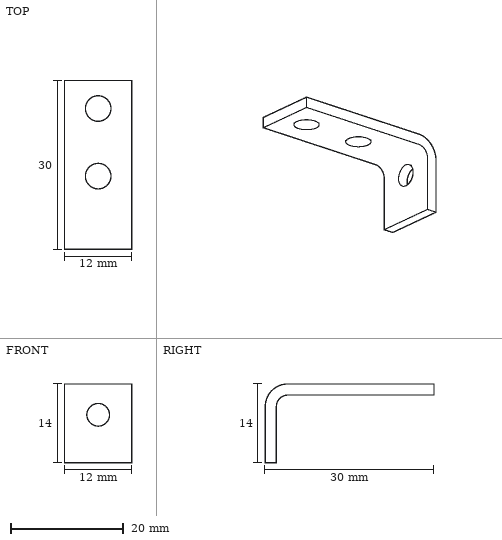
import cadquery as cq

width = 12.0
length = 30.0
height = 14.0
thickness = 2.0

inner_radius = thickness
outer_radius = inner_radius + thickness

top_hole_diameter = 4.5
top_hole_end_distance = 5.0
top_hole_spacing = 12.0
front_hole_diameter = 4.0
front_hole_depth_below_top = 5.5

front_y = 0.0
back_y = front_y + length
top_z = height


def bent_strip():
    """L-shaped profile in the YZ plane, extruded across the width and rounded at the bend."""
    profile = [
        (front_y, 0),
        (front_y, top_z),
        (back_y, top_z),
        (back_y, top_z - thickness),
        (front_y + thickness, top_z - thickness),
        (front_y + thickness, 0),
    ]
    strip = cq.Workplane("YZ").polyline(profile).close().extrude(width / 2, both=True)
    outer_corner = cq.NearestToPointSelector((0, front_y, top_z))
    inner_corner = cq.NearestToPointSelector((0, front_y + thickness, top_z - thickness))
    strip = strip.edges(outer_corner).fillet(outer_radius)
    return strip.edges(inner_corner).fillet(inner_radius)


def top_holes():
    """Two vertical cutters through the horizontal leg."""
    first_y = back_y - top_hole_end_distance
    centers = [(0, first_y), (0, first_y - top_hole_spacing)]
    return (
        cq.Workplane("XY", origin=(0, 0, top_z))
        .pushPoints(centers)
        .circle(top_hole_diameter / 2)
        .extrude(-height)
    )


def front_hole():
    """Cutter along Y through the vertical leg, reaching past the inner bend."""
    reach = thickness + inner_radius
    return (
        cq.Workplane("XZ", origin=(0, front_y, top_z - front_hole_depth_below_top))
        .circle(front_hole_diameter / 2)
        .extrude(-reach)
    )


result = bent_strip().cut(top_holes()).cut(front_hole())